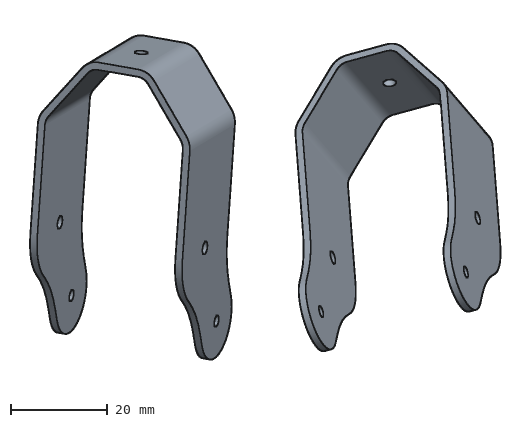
import cadquery as cq
import math


outer_width = 34.06
thickness = 1.6
crown_height = 39.11
crown_corner_half = 6.7
shoulder_drop = 13.7
crown_bend_radius = 4.6
leg_bend_radius = 5.0

strap_radius = 12.17
foot_radius = 8.08
waist_radius = 24.0
hole_spacing = 20.2
foot_bend_angle = 27.4

strap_hole_diameter = 2.71
foot_hole_diameter = 2.38
tilt_angle = 9.65

half_width = outer_width / 2
bend = math.radians(foot_bend_angle)
foot_axis = cq.Vector(math.sin(bend), -math.cos(bend))
foot_front = cq.Vector(-math.cos(bend), -math.sin(bend))
foot_center = foot_axis * hole_spacing


def yz(point):
    return (point.x, point.y)


def arc_middle(center, start, end):
    """Middle of the shorter arc about center from start to end."""
    to_start = start - center
    to_end = end - center
    return center + (to_start + to_end).normalized() * to_start.Length


def offset_arch(inset):
    """Solid arch whose outline lies the given distance inside the outer surface."""
    shoulder_angle = math.atan2(shoulder_drop, half_width - crown_corner_half)
    top = crown_height - inset
    side = half_width - inset
    bottom = -(hole_spacing + foot_radius)
    crown_corner = crown_corner_half - inset * math.tan(shoulder_angle / 2)
    leg_bend_half = (math.pi / 2 - shoulder_angle) / 2
    leg_corner_height = crown_height - shoulder_drop - inset * math.tan(leg_bend_half)
    outline = [
        (-side, bottom),
        (-side, leg_corner_height),
        (-crown_corner, top),
        (crown_corner, top),
        (side, leg_corner_height),
        (side, bottom),
    ]
    arch = cq.Workplane("XZ").polyline(outline).close().extrude(strap_radius * 2, both=True)
    middle_height = crown_height - shoulder_drop / 2
    crown_box = cq.selectors.BoxSelector(
        (-half_width, -strap_radius, middle_height), (half_width, strap_radius, crown_height + thickness)
    )
    leg_box = cq.selectors.BoxSelector(
        (-outer_width, -strap_radius, 0), (outer_width, strap_radius, middle_height)
    )
    arch = arch.edges("|Y").edges(crown_box).fillet(crown_bend_radius - inset)
    return arch.edges("|Y").edges(leg_box).fillet(leg_bend_radius - inset)


def bent_strip():
    return offset_arch(0).cut(offset_arch(thickness))


def side_outline():
    """Side shape of strap and foot, extruded across the whole width."""
    upper_hole = cq.Vector(0, 0)

    waist_offset = foot_radius + waist_radius
    waist_reach = math.sqrt((strap_radius + waist_radius) ** 2 - waist_offset**2)
    front_center = foot_front * waist_offset + foot_axis * waist_reach
    front_waist_top = front_center.normalized() * strap_radius
    front_waist_bottom = front_center - foot_front * waist_radius

    back_center_y = strap_radius + waist_radius
    back_center_z = (waist_offset - back_center_y * math.cos(bend)) / math.sin(bend)
    back_center = cq.Vector(back_center_y, back_center_z)
    back_waist_top = cq.Vector(strap_radius, back_center_z)
    back_waist_bottom = back_center + foot_front * waist_radius

    front_edge_end = cq.Vector(-strap_radius, 0)
    foot_front_end = foot_center + foot_front * foot_radius
    foot_tip = foot_center + foot_axis * foot_radius
    foot_back_end = foot_center - foot_front * foot_radius

    return (
        cq.Workplane("YZ")
        .moveTo(strap_radius, crown_height)
        .lineTo(-strap_radius, crown_height)
        .lineTo(*yz(front_edge_end))
        .threePointArc(yz(arc_middle(upper_hole, front_edge_end, front_waist_top)), yz(front_waist_top))
        .threePointArc(
            yz(arc_middle(front_center, front_waist_top, front_waist_bottom)), yz(front_waist_bottom)
        )
        .lineTo(*yz(foot_front_end))
        .threePointArc(yz(foot_tip), yz(foot_back_end))
        .lineTo(*yz(back_waist_bottom))
        .threePointArc(yz(arc_middle(back_center, back_waist_bottom, back_waist_top)), yz(back_waist_top))
        .close()
        .extrude(half_width, both=True)
    )


def leg_holes(center, diameter):
    """Cylinder along X through both legs."""
    return cq.Workplane("YZ").center(*yz(center)).circle(diameter / 2).extrude(outer_width, both=True)


def crown_hole():
    return cq.Workplane("XY").circle(strap_hole_diameter / 2).extrude(crown_height + thickness)


bracket = bent_strip().intersect(side_outline())
bracket = bracket.cut(leg_holes(cq.Vector(0, 0), strap_hole_diameter))
bracket = bracket.cut(leg_holes(foot_center, foot_hole_diameter))
bracket = bracket.cut(crown_hole())

result = bracket.rotate((0, 0, 0), (1, 0, 0), -tilt_angle)